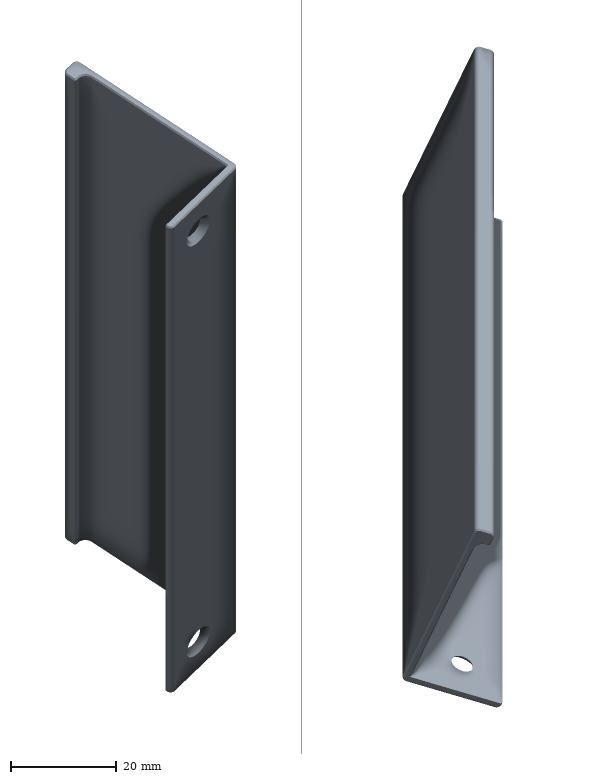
import cadquery as cq

width = 40.0
depth = 20.0
length = 145.0

wall = 1.5
lip_width = 3.2
lip_depth = 4.0
corner_radius = 1.0
lip_outer_edge_radius = 1.2
lip_inner_edge_radius = 0.5
lip_root_radius = 1.9
leg_tip_radius = 1.0
end_chamfer = 0.3

hole_diameter = 4.4
countersink_diameter = 7.0
countersink_angle = 90
hole_from_back = 11.9
hole_from_end = 8.5


def round_edge(body, x, y, radius):
    """Fillet the lengthwise edge that passes through (x, y)."""
    edge = cq.selectors.NearestToPointSelector((x, y, length / 2))
    return body.edges("|Z").edges(edge).fillet(radius)


def make_profile_body():
    """Extrude a plate along the back, with a lip at one side and a leg at the other."""
    body = (
        cq.Workplane("XY")
        .moveTo(0, 0)
        .lineTo(width, 0)
        .lineTo(width, -depth)
        .lineTo(width - wall, -depth)
        .lineTo(width - wall, -wall)
        .lineTo(lip_width, -wall)
        .lineTo(lip_width, -lip_depth)
        .lineTo(0, -lip_depth)
        .close()
        .extrude(length)
    )
    rounded_edges = [
        (0, 0, corner_radius),
        (width, 0, corner_radius),
        (0, -lip_depth, lip_outer_edge_radius),
        (lip_width, -lip_depth, lip_inner_edge_radius),
        (lip_width, -wall, lip_root_radius),
        (width, -depth, leg_tip_radius),
    ]
    for x, y, radius in rounded_edges:
        body = round_edge(body, x, y, radius)
    return body


def bevel_ends(body):
    """Chamfer both end outlines, leaving the inner edge of the leg sharp."""
    leg_inner_middle = -(wall + depth) / 2
    end_edges = body.faces("<Z or >Z").edges()
    for z in (0, length):
        sharp_edge = cq.selectors.NearestToPointSelector((width - wall, leg_inner_middle, z))
        end_edges = end_edges.edges(cq.selectors.SubtractSelector(cq.StringSyntaxSelector("#Z"), sharp_edge))
    return end_edges.chamfer(end_chamfer)


def drill_leg_holes(body):
    """Drill a hole near each end of the leg, countersunk from its outer face."""
    middle = length / 2
    offset = middle - hole_from_end
    outer_face = cq.Plane(origin=(width, -hole_from_back, middle), xDir=(0, 1, 0), normal=(1, 0, 0))
    return (
        body.copyWorkplane(cq.Workplane(outer_face))
        .pushPoints([(0, -offset), (0, offset)])
        .cskHole(hole_diameter, countersink_diameter, countersink_angle)
    )


result = drill_leg_holes(bevel_ends(make_profile_body()))